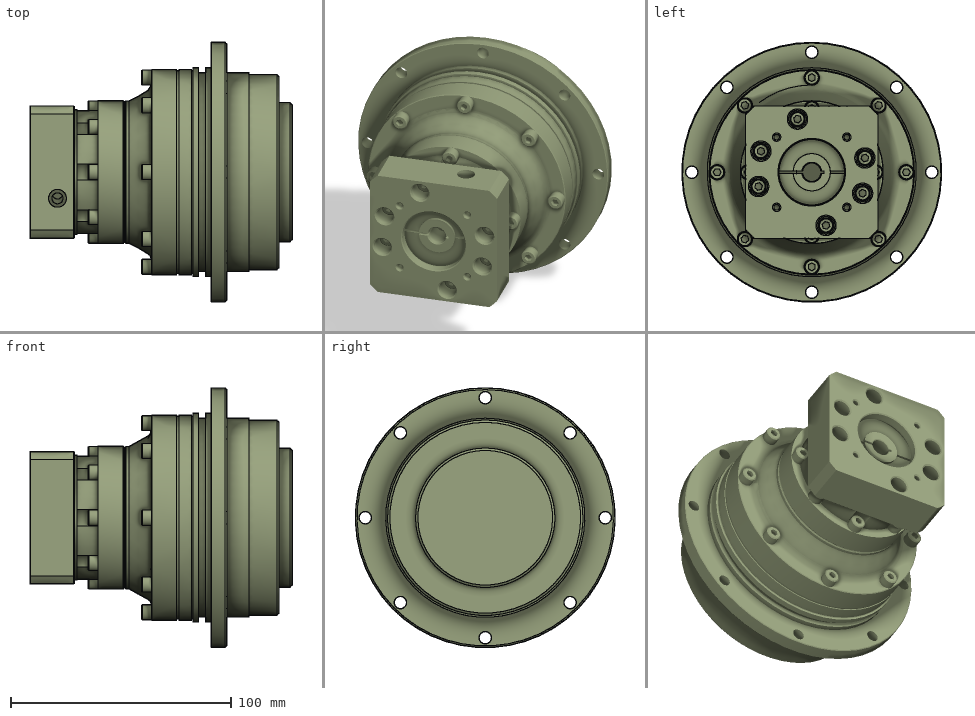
import cadquery as cq
import math


plate_side = 60.1
plate_thickness = 20.1
plate_corner_radius = 40.0
plate_back_chamfer = 0.4
pilot_radius = 14.9
pilot_depth = 4.3
pilot_chamfer = 0.5
hub_cavity_radius = 17.8
tapped_spacing = 31.9
tapped_angles = [45.0, 135.0, 225.0, 315.0]
tapped_radius = 1.3
tapped_depth = 7.1
tapped_chamfer = 0.6
drill_tip_angle = 118.0
plate_screw_circle = 25.0
plate_screw_angles = [-15.0, 22.5, 75.0, 165.0, 202.5, 255.0]
counterbore_radius = 4.0
counterbore_depth = 11.9
counterbore_chamfer = 0.6

head_radius = 3.5
head_height = 4.5
head_chamfer = 0.5
socket_circumradius = 1.8
socket_depth = 2.3

hub_front = 7.0
hub_radius = 17.4
hub_slit_depth = 2.7
slit_width = 1.2

clamp_x = 12.4
clamp_y = -11.9
clamp_access_radius = 4.0
clamp_hole_radius = 2.5
clamp_access_floor = 17.8
clamp_drill_end = 14.2

bushing_front = 5.6
bushing_flange_radius = 8.5
bushing_radius = 7.0
bushing_length = 12.1
bushing_bore = 4.2
bushing_bore_chamfer = 0.4
bushing_notch_reach = 5.5

collar_end = 21.3
collar_radius = 28.5
neck_radius = 28.2
input_flange_start = 30.7
input_flange_radius = 32.5
seam_start = 42.1
seam_end = 43.4
seam_radius = 31.8
seam_chamfer = 0.5
cone_start = 44.9
cone_start_radius = 32.4
cone_end = 53.4
cone_end_radius = 37.1
drum_start = 55.0
drum_inner_radius = 39.6
drum_radius = 46.6
drum_chamfer = 0.4
joint_depth = 0.5
joint_start = 66.4
joint_end = 67.6
step_start = 73.3
rib_start = 73.9
rib_radius = 47.5
oring_start = 76.5
oring_end = 79.6
oring_radius = 45.2
flange_start = 82.0
flange_end = 89.2
flange_radius = 59.0
flange_front_chamfer = 0.4
flange_back_chamfer = 0.8
spigot_end = 99.2
spigot_radius = 45.2
nose_end = 113.0
nose_radius = 44.4
nose_chamfer = 1.1
output_end = 119.0
output_radius = 31.7
output_chamfer = 1.1

screw_count = 8
input_screw_circle = 28.9
input_notch_radius = 3.8
drum_screw_circle = 43.0
flange_hole_circle = 54.5
flange_hole_radius = 2.7


def plane_at(x):
    """Plane across the axis at the given X, with local axes along Y and Z."""
    return cq.Workplane("YZ", origin=(x, 0, 0))


def disc(x_start, x_end, radius):
    return plane_at(x_start).circle(radius).extrude(x_end - x_start)


def tip_height(radius):
    """Height of the cone that a drill of the given radius leaves."""
    return radius / math.tan(math.radians(drill_tip_angle / 2))


def chamfered_hole(radius, depth, chamfer):
    """Cutter for a blind hole entering at X = 0, with a conical rim."""
    outline = [
        (0, 0), (0, radius + chamfer), (chamfer, radius), (depth, radius), (depth, 0),
    ]
    return cq.Workplane("XZ").polyline(outline).close().revolve(360, (0, 0), (1, 0))


def screw_head(seat_x):
    """Socket head standing on the plane X = seat_x and pointing towards -X."""
    top_x = seat_x - head_height
    socket = plane_at(top_x).polygon(6, 2 * socket_circumradius).extrude(socket_depth)
    return disc(top_x, seat_x, head_radius).faces("<X").chamfer(head_chamfer).cut(socket)


def on_circle(shape, circle_radius, angles):
    """Copies of an axis-centred shape, moved out and turned about X to each angle from +Y."""
    moved = shape.translate((0, circle_radius, 0))
    return [moved.rotate((0, 0, 0), (1, 0, 0), angle) for angle in angles]


def clamp_cylinder(radius, z_start, z_end):
    """Cylinder along Z on the axis of the clamping screw."""
    base = cq.Workplane("XY", origin=(clamp_x, clamp_y, z_start))
    return base.circle(radius).extrude(z_end - z_start)


def clamp_drill_tip():
    """Cone at the end of the plate's clamping passage, which breaks into the hub cavity."""
    base = cq.Vector(clamp_x, clamp_y, clamp_drill_end)
    height = tip_height(clamp_hole_radius)
    return cq.Workplane(cq.Solid.makeCone(clamp_hole_radius, 0, height, base, cq.Vector(0, 0, -1)))


even_angles = [360 / screw_count * i for i in range(screw_count)]


def make_plate():
    plate = plane_at(0).rect(plate_side, plate_side).extrude(plate_thickness)
    plate = plate.intersect(disc(0, plate_thickness, plate_corner_radius))
    plate = plate.faces(">X").chamfer(plate_back_chamfer)
    plate = plate.cut(chamfered_hole(pilot_radius, pilot_depth, pilot_chamfer))
    plate = plate.cut(disc(pilot_depth, plate_thickness, hub_cavity_radius))
    plate = plate.cut(clamp_cylinder(clamp_access_radius, clamp_access_floor, plate_side / 2))
    plate = plate.cut(clamp_cylinder(clamp_hole_radius, clamp_drill_end, clamp_access_floor))
    plate = plate.cut(clamp_drill_tip())

    tapped_tip = cq.Solid.makeCone(
        tapped_radius, 0, tip_height(tapped_radius),
        cq.Vector(tapped_depth, 0, 0), cq.Vector(1, 0, 0),
    )
    tapped_hole = chamfered_hole(tapped_radius, tapped_depth, tapped_chamfer).union(tapped_tip)
    tapped_circle = tapped_spacing / math.sqrt(2)
    for hole in on_circle(tapped_hole, tapped_circle, tapped_angles):
        plate = plate.cut(hole)

    counterbore = chamfered_hole(counterbore_radius, counterbore_depth, counterbore_chamfer)
    for hole in on_circle(counterbore, plate_screw_circle, plate_screw_angles):
        plate = plate.cut(hole)
    for head in on_circle(screw_head(counterbore_depth), plate_screw_circle, plate_screw_angles):
        plate = plate.union(head)
    return plate


def make_hub():
    hub = disc(hub_front, plate_thickness, hub_radius)
    hub = hub.cut(disc(hub_front, bushing_front + bushing_length, bushing_radius))
    hub = hub.cut(plane_at(hub_front).rect(2 * hub_radius, slit_width).extrude(hub_slit_depth))
    return hub.cut(clamp_cylinder(clamp_hole_radius, -hub_radius, hub_radius))


def make_bushing():
    bushing_end = bushing_front + bushing_length
    bushing = disc(bushing_front, hub_front, bushing_flange_radius)
    bushing = bushing.union(disc(hub_front, bushing_end, bushing_radius))
    bore = chamfered_hole(bushing_bore, bushing_length, bushing_bore_chamfer)
    bushing = bushing.cut(bore.translate((bushing_front, 0, 0)))
    slot_length = bushing_flange_radius + bushing_notch_reach
    slot_centre = (bushing_flange_radius - bushing_notch_reach) / 2
    slot = plane_at(bushing_front).center(slot_centre, 0).rect(slot_length, slit_width)
    return bushing.cut(slot.extrude(bushing_length))


def make_housing_blank():
    """Turned outline of the housing, from the adapter plate to the output face."""
    joint_radius = drum_radius - joint_depth
    return (
        cq.Workplane("XZ")
        .moveTo(plate_thickness, 0)
        .lineTo(plate_thickness, collar_radius)
        .lineTo(collar_end, collar_radius)
        .lineTo(collar_end, neck_radius)
        .lineTo(input_flange_start, neck_radius)
        .lineTo(input_flange_start, input_flange_radius)
        .lineTo(seam_start, input_flange_radius)
        .lineTo(seam_start + seam_chamfer, input_flange_radius - seam_chamfer)
        .lineTo(seam_start + seam_chamfer, seam_radius)
        .lineTo(seam_end - seam_chamfer, seam_radius)
        .lineTo(seam_end - seam_chamfer, cone_start_radius - seam_chamfer)
        .lineTo(seam_end, cone_start_radius)
        .lineTo(cone_start, cone_start_radius)
        .lineTo(cone_end, cone_end_radius)
        .tangentArcPoint((drum_start, drum_inner_radius), relative=False)
        .lineTo(drum_start, drum_radius - drum_chamfer)
        .lineTo(drum_start + drum_chamfer, drum_radius)
        .lineTo(joint_start, drum_radius)
        .lineTo(joint_start, joint_radius)
        .lineTo(joint_end, joint_radius)
        .lineTo(joint_end, drum_radius)
        .lineTo(step_start, drum_radius)
        .lineTo(step_start, joint_radius)
        .lineTo(rib_start, joint_radius)
        .lineTo(rib_start, rib_radius)
        .lineTo(oring_start, rib_radius)
        .lineTo(oring_start, oring_radius)
        .lineTo(oring_end, oring_radius)
        .lineTo(oring_end, rib_radius)
        .lineTo(flange_start, rib_radius)
        .lineTo(flange_start, flange_radius - flange_front_chamfer)
        .lineTo(flange_start + flange_front_chamfer, flange_radius)
        .lineTo(flange_end - flange_back_chamfer, flange_radius)
        .lineTo(flange_end, flange_radius - flange_back_chamfer)
        .lineTo(flange_end, spigot_radius)
        .lineTo(spigot_end, spigot_radius)
        .lineTo(spigot_end, nose_radius)
        .lineTo(nose_end - nose_chamfer, nose_radius)
        .lineTo(nose_end, nose_radius - nose_chamfer)
        .lineTo(nose_end, output_radius)
        .lineTo(output_end - output_chamfer, output_radius)
        .lineTo(output_end, output_radius - output_chamfer)
        .lineTo(output_end, 0)
        .close()
        .revolve(360, (0, 0), (1, 0))
    )


def make_housing():
    housing = make_housing_blank()

    notch = disc(collar_end, input_flange_start, input_notch_radius)
    for cutter in on_circle(notch, input_screw_circle, even_angles):
        housing = housing.cut(cutter)

    flange_hole = disc(flange_start, flange_end, flange_hole_radius)
    for cutter in on_circle(flange_hole, flange_hole_circle, even_angles):
        housing = housing.cut(cutter)

    for head in on_circle(screw_head(input_flange_start), input_screw_circle, even_angles):
        housing = housing.union(head)
    for head in on_circle(screw_head(drum_start), drum_screw_circle, even_angles):
        housing = housing.union(head)
    return housing


plate = make_plate()
hub = make_hub()
bushing = make_bushing()
housing = make_housing()

result = cq.Compound.makeCompound([plate.val(), hub.val(), bushing.val(), housing.val()])